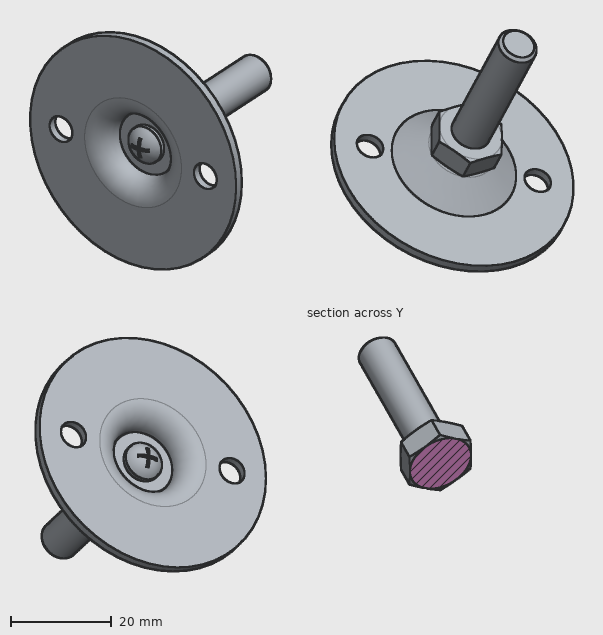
import cadquery as cq
import math

plate_diameter = 50
plate_thickness = 2
hole_diameter = 5.5
hole_spacing = 35

cone_base_radius = 13
cone_top_radius = 6.2
cone_top_y = 7.35
cone_top_rounding = 2.5

recess_depth = 5
lip_radius = recess_depth
recess_floor_radius = 6.75
recess_mouth_radius = recess_floor_radius + lip_radius

nut_across_flats = 13
nut_corner_diameter = nut_across_flats / math.cos(math.pi / 6)
nut_start_y = cone_top_y
nut_end_y = 12.5
nut_face_radius = nut_across_flats / 2
nut_bevel_angle = math.radians(15)
stud_diameter = 8
stud_end_y = 42.5
stud_chamfer = 0.75

head_radius = stud_diameter / 2
head_rim_y = 4
head_top_y = 1.9
slot_length = 4.1
slot_width = 0.5
slot_depth = 1


def lathe(profile):
    """Revolve a closed (radius, Y) profile around the Y axis."""
    return profile.close().revolve(360, (0, 0, 0), (0, 1, 0))


def along_y(start_y):
    """Workplane at the given Y, facing -Y, so negative extrusions grow toward +Y."""
    return cq.Workplane("XZ", origin=(0, start_y, 0))


def make_base():
    lip_middle = lip_radius * math.sqrt(0.5)
    profile = (
        cq.Workplane("XY")
        .moveTo(0, recess_depth)
        .lineTo(recess_floor_radius, recess_depth)
        .threePointArc(
            (recess_mouth_radius - lip_middle, recess_depth - lip_middle),
            (recess_mouth_radius, 0),
        )
        .lineTo(plate_diameter / 2, 0)
        .lineTo(plate_diameter / 2, plate_thickness)
        .lineTo(cone_base_radius, plate_thickness)
        .lineTo(cone_top_radius, cone_top_y)
        .lineTo(0, cone_top_y)
    )
    holes = (
        along_y(0)
        .pushPoints([(-hole_spacing / 2, 0), (hole_spacing / 2, 0)])
        .circle(hole_diameter / 2)
        .extrude(-plate_thickness)
    )
    base = lathe(profile).faces(">Y").edges().fillet(cone_top_rounding)
    return base.cut(holes)


def make_nut():
    """Hexagon with corners on the Z axis, bevelled at both ends."""
    hexagon = (
        along_y(nut_start_y)
        .transformed(rotate=(0, 0, 90))
        .polygon(6, nut_corner_diameter)
        .extrude(nut_start_y - nut_end_y)
    )
    corner_radius = nut_corner_diameter / 2
    bevel_height = (corner_radius - nut_face_radius) * math.tan(nut_bevel_angle)
    bevel_envelope = lathe(
        cq.Workplane("XY")
        .moveTo(0, nut_start_y)
        .lineTo(nut_face_radius, nut_start_y)
        .lineTo(corner_radius, nut_start_y + bevel_height)
        .lineTo(corner_radius, nut_end_y - bevel_height)
        .lineTo(nut_face_radius, nut_end_y)
        .lineTo(0, nut_end_y)
    )
    return hexagon.intersect(bevel_envelope)


def make_stud():
    return (
        along_y(nut_end_y)
        .circle(stud_diameter / 2)
        .extrude(nut_end_y - stud_end_y)
        .faces(">Y")
        .chamfer(stud_chamfer)
    )


def make_head():
    dome_height = head_rim_y - head_top_y
    dome_radius = (head_radius**2 + dome_height**2) / (2 * dome_height)
    dome_center_y = head_top_y + dome_radius
    middle_radius = head_radius / 2
    middle_y = dome_center_y - math.sqrt(dome_radius**2 - middle_radius**2)
    head = lathe(
        cq.Workplane("XY")
        .moveTo(0, head_top_y)
        .threePointArc((middle_radius, middle_y), (head_radius, head_rim_y))
        .lineTo(head_radius, recess_depth)
        .lineTo(0, recess_depth)
    )
    for length_x, length_z in [(slot_length, slot_width), (slot_width, slot_length)]:
        slot = along_y(0).rect(length_x, length_z).extrude(-head_top_y - slot_depth)
        head = head.cut(slot)
    return head


result = make_base().union(make_nut()).union(make_stud()).union(make_head())